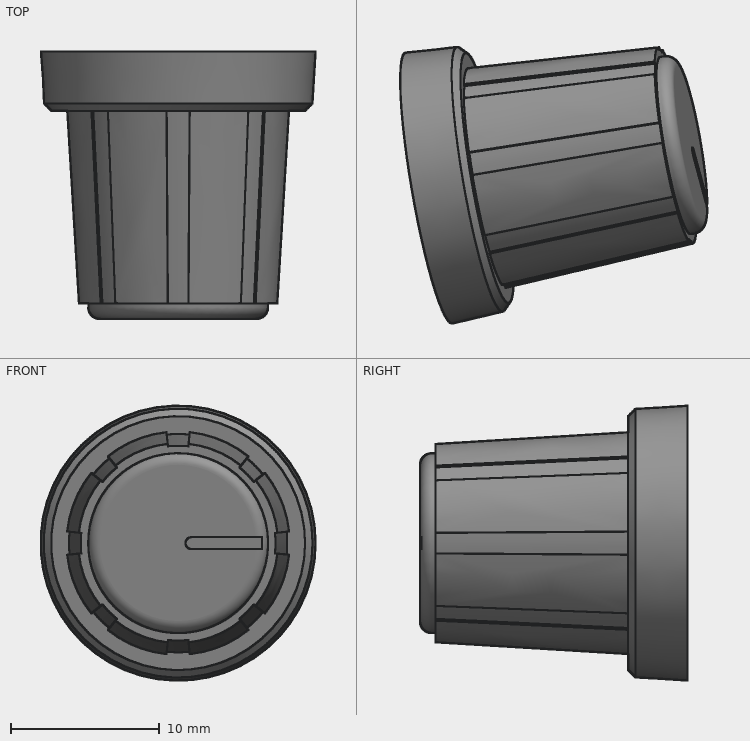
import cadquery as cq
import math

total_length = 18.0
collar_length = 4.0
cap_height = 1.05
body_front = total_length - cap_height
draft_angle = 3.5
draft_slope = math.tan(math.radians(draft_angle))

cutter_clearance = 1.0

collar_radius = 9.25
collar_chamfer = 0.5
collar_cone_length = collar_length - collar_chamfer
collar_edge_radius = collar_radius - collar_cone_length * draft_slope

body_root_radius = 7.5
body_tip_radius = body_root_radius - (body_front - collar_length) * draft_slope

cap_radius = 6.05
cap_fillet = 0.8

groove_count = 8
groove_depth = 0.16
groove_angle = 12.0

pointer_width = 0.8
pointer_start = 0.5
pointer_end = cap_radius + cutter_clearance
pointer_depth = 0.1


def make_knob():
    """Revolve the collar, grip body and rounded cap about the Y axis."""
    fillet_mid = cap_fillet * math.sqrt(0.5)
    cap_flat_radius = cap_radius - cap_fillet
    fillet_start = total_length - cap_fillet
    return (
        cq.Workplane("XY")
        .moveTo(0, 0)
        .lineTo(collar_radius, 0)
        .lineTo(collar_edge_radius, -collar_cone_length)
        .lineTo(collar_edge_radius - collar_chamfer, -collar_length)
        .lineTo(body_root_radius, -collar_length)
        .lineTo(body_tip_radius, -body_front)
        .lineTo(cap_radius, -body_front)
        .lineTo(cap_radius, -fillet_start)
        .threePointArc(
            (cap_flat_radius + fillet_mid, -(fillet_start + fillet_mid)),
            (cap_flat_radius, -total_length),
        )
        .lineTo(0, -total_length)
        .close()
        .revolve(360, (0, 0, 0), (0, 1, 0))
    )


def make_groove():
    """Cutter for one shallow groove: a conical shell sector centred on +X."""
    outer_radius = body_root_radius + cutter_clearance
    return (
        cq.Workplane("XY")
        .moveTo(body_root_radius - groove_depth, -collar_length)
        .lineTo(outer_radius, -collar_length)
        .lineTo(outer_radius, -body_front)
        .lineTo(body_tip_radius - groove_depth, -body_front)
        .close()
        .revolve(groove_angle, (0, 0, 0), (0, 1, 0))
        .rotate((0, 0, 0), (0, 1, 0), -groove_angle / 2)
    )


def cut_grooves(knob):
    """Cut the grooves, evenly spaced around the grip body."""
    groove = make_groove()
    for index in range(groove_count):
        angle = index * 360 / groove_count
        knob = knob.cut(groove.rotate((0, 0, 0), (0, 1, 0), angle))
    return knob


def cut_pointer(knob):
    """Cut the pointer slot into the cap face, round at its inner end and open at the rim."""
    half_width = pointer_width / 2
    arc_start = pointer_start + half_width
    pointer = (
        cq.Workplane("XZ", origin=(0, -total_length, 0))
        .moveTo(arc_start, -half_width)
        .lineTo(pointer_end, -half_width)
        .lineTo(pointer_end, half_width)
        .lineTo(arc_start, half_width)
        .threePointArc((pointer_start, 0), (arc_start, -half_width))
        .close()
        .extrude(-pointer_depth)
    )
    return knob.cut(pointer)


result = cut_pointer(cut_grooves(make_knob()))